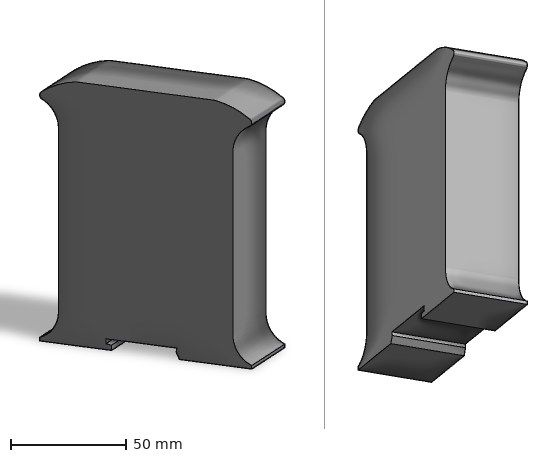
import cadquery as cq
import math

depth = 35.0
height = 120.0
half_width = 101.14 / 2

flat_half_width = 31.9
tip_root_x = 49.66
shoulder_start = (33.6, height - 0.1)
shoulder_end = (tip_root_x, height - 6.5)
shoulder_radius = 40.0
blend_radius = 14.5

tip_end = (tip_root_x, height - 9.8)
tip_mid = (half_width, (shoulder_end[1] + tip_end[1]) / 2)

wall_half_width = 41.6
upper_hollow_start = height - 22.8
lower_hollow_end = 14.6
hollow_radius = 13.75
foot_thickness = 1.6

slot_height = 5.0
hook_recess_x = -19.0
hook_lip_x = -16.3
hook_recess_z = 2.75
hook_lip_z = 2.4
slot_right_top_x = 14.8
slot_right_neck = (14.5, 3.2)
slot_right_base_x = 16.1


def arc_middle(start, end, radius, left):
    """Midpoint of the minor arc from start to end, bulging left or right of travel."""
    dx = end[0] - start[0]
    dz = end[1] - start[1]
    chord = math.hypot(dx, dz)
    sagitta = radius - math.sqrt(radius**2 - chord**2 / 4)
    bulge = sagitta / chord if left else -sagitta / chord
    middle_x = (start[0] + end[0]) / 2 - dz * bulge
    middle_z = (start[1] + end[1]) / 2 + dx * bulge
    return (middle_x, middle_z)


def make_half_body():
    """Right half of the body, from the centre plane out to the flared edge."""
    flat_end = (flat_half_width, height)
    wall_top = (wall_half_width, upper_hollow_start)
    wall_bottom = (wall_half_width, lower_hollow_end)
    foot_top = (half_width, foot_thickness)
    profile = (
        cq.Workplane("XZ")
        .moveTo(0, 0)
        .lineTo(0, height)
        .lineTo(*flat_end)
        .threePointArc(arc_middle(flat_end, shoulder_start, blend_radius, True), shoulder_start)
        .threePointArc(arc_middle(shoulder_start, shoulder_end, shoulder_radius, True), shoulder_end)
        .threePointArc(tip_mid, tip_end)
        .threePointArc(arc_middle(tip_end, wall_top, hollow_radius, False), wall_top)
        .lineTo(*wall_bottom)
        .threePointArc(arc_middle(wall_bottom, foot_top, hollow_radius, False), foot_top)
        .lineTo(half_width, 0)
        .close()
    )
    return profile.extrude(depth / 2, both=True)


def make_rail_slot():
    """Cutter for the rail slot, running through the whole depth."""
    profile = (
        cq.Workplane("XZ")
        .moveTo(hook_lip_x, 0)
        .lineTo(hook_lip_x, hook_lip_z)
        .lineTo(hook_recess_x, hook_recess_z)
        .lineTo(hook_recess_x, slot_height)
        .lineTo(slot_right_top_x, slot_height)
        .lineTo(*slot_right_neck)
        .lineTo(slot_right_base_x, 0)
        .close()
    )
    return profile.extrude(depth / 2, both=True)


right_half = make_half_body()
left_half = right_half.mirror("YZ")
result = right_half.union(left_half).clean().cut(make_rail_slot())